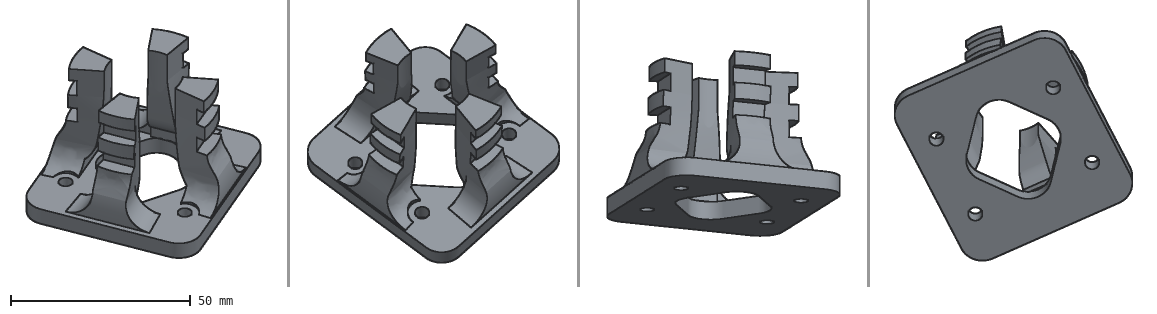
import cadquery as cq
import math

OVERALL_HEIGHT = 39.0

PLATE_X = 52.0
PLATE_Y = 54.55
PLATE_THICKNESS = 5.1
PLATE_CORNER_RADIUS = 6.55

OPENING_HALF_X = 15.7
OPENING_HALF_Y = 19.85
OPENING_CORNER_RADIUS = 6.55

SCREW_DIAMETER = 4.0
SCREW_SPACING_X = 36.0
SCREW_SPACING_Y = 25.1
SCREW_PATTERN_SHIFT_Y = -0.5
HEAD_CLEARANCE_RADIUS = 4.05

FINGER_HEIGHT = OVERALL_HEIGHT - PLATE_THICKNESS
FINGER_SECTOR_ANGLE = 30.0
FINGER_TWIST = 1.3

FOOT_OUTER_R = 25.6
BACK_ARC_RADIUS = 26.2
BACK_ARC_TOP = 7.95
HOLLOW_R = 22.9
HOLLOW_Z = 10.6
SHOULDER_R = 21.85
SHOULDER_Z = 15.25
GROOVE_FLOOR_R = 17.95
MIDDLE_TOOTH_R = 21.2
MIDDLE_TOOTH_BOTTOM = 20.1
MIDDLE_TOOTH_TOP = 24.75
SECTOR_START_Z = MIDDLE_TOOTH_TOP
TOP_TOOTH_R = 20.95
TOP_TOOTH_BOTTOM = 29.85
ROUND_MID_R = 22.7
ROUND_MID_Z = 12.0
ROUND_END_R = 25.65
ROUND_END_Z = 8.7

TIP_INNER_RADIUS = 10.95
TIP_STRAIGHT_Z = 29.45
INNER_BEND_R = 12.4
INNER_BEND_Z = 8.85
STEM_INNER_R = 15.45
STEM_INNER_Z = 3.4

FOOT_HALF_WIDTH = 12.65
FOOT_TAPER = 4.0
FLARE_RADIUS = 7.5
FOOT_EDGE = 0.05
FLARE_TOP = FOOT_EDGE + FLARE_RADIUS
FLARE_START_R_Y = 16.4

BLANK_INNER_R = 8.2
BLANK_OUTER_R = 30.0
BLANK_HALF_WIDTH = 13.65
SEAM_TURN = 45

FLARE_START_R_X = BLANK_INNER_R


def make_plate():
    plate = (
        cq.Workplane("XY")
        .box(PLATE_X, PLATE_Y, PLATE_THICKNESS, centered=(True, True, False))
        .edges("|Z")
        .fillet(PLATE_CORNER_RADIUS)
        .translate((0, 0, -PLATE_THICKNESS))
    )
    opening = (
        cq.Workplane("XY")
        .polyline([(OPENING_HALF_X, 0), (0, OPENING_HALF_Y), (-OPENING_HALF_X, 0), (0, -OPENING_HALF_Y)])
        .close()
        .extrude(-PLATE_THICKNESS)
        .edges("|Z")
        .fillet(OPENING_CORNER_RADIUS)
    )
    return plate.cut(opening)


def screw_cylinders(radius, bottom, height):
    return (
        cq.Workplane("XY", origin=(0, SCREW_PATTERN_SHIFT_Y, bottom))
        .rarray(SCREW_SPACING_X, SCREW_SPACING_Y, 2, 2)
        .circle(radius)
        .extrude(height)
    )


def foot_half_width(r):
    return FOOT_HALF_WIDTH - (FOOT_OUTER_R - r) * math.tan(math.radians(FOOT_TAPER))


def stem_half_width(r):
    return foot_half_width(r) - FLARE_RADIUS


def make_side_profile():
    """Finger outline in the radial plane, as a slab wide enough for the foot."""
    inner_r = TIP_INNER_RADIUS * math.cos(math.radians(FINGER_SECTOR_ANGLE / 2))
    lean = math.asin(BACK_ARC_TOP / BACK_ARC_RADIUS)
    arc_center_r = FOOT_OUTER_R - BACK_ARC_RADIUS
    arc_mid = (
        arc_center_r + BACK_ARC_RADIUS * math.cos(lean / 2),
        BACK_ARC_RADIUS * math.sin(lean / 2),
    )
    arc_end = (arc_center_r + BACK_ARC_RADIUS * math.cos(lean), BACK_ARC_TOP)
    return (
        cq.Workplane("XZ", origin=(0, BLANK_HALF_WIDTH, 0))
        .moveTo(inner_r, FINGER_HEIGHT)
        .lineTo(inner_r, TIP_STRAIGHT_Z)
        .tangentArcPoint((INNER_BEND_R, INNER_BEND_Z), relative=False)
        .tangentArcPoint((STEM_INNER_R, STEM_INNER_Z), relative=False)
        .lineTo(STEM_INNER_R, 0)
        .lineTo(FOOT_OUTER_R, 0)
        .threePointArc(arc_mid, arc_end)
        .spline(
            [(HOLLOW_R, HOLLOW_Z), (SHOULDER_R, SHOULDER_Z)],
            tangents=[(-math.sin(lean), math.cos(lean)), (0, 1)],
            includeCurrent=True,
        )
        .lineTo(GROOVE_FLOOR_R, SHOULDER_Z)
        .lineTo(GROOVE_FLOOR_R, MIDDLE_TOOTH_BOTTOM)
        .lineTo(MIDDLE_TOOTH_R, MIDDLE_TOOTH_BOTTOM)
        .lineTo(MIDDLE_TOOTH_R, MIDDLE_TOOTH_TOP)
        .lineTo(GROOVE_FLOOR_R, MIDDLE_TOOTH_TOP)
        .lineTo(GROOVE_FLOOR_R, TOP_TOOTH_BOTTOM)
        .lineTo(TOP_TOOTH_R, TOP_TOOTH_BOTTOM)
        .lineTo(TOP_TOOTH_R, FINGER_HEIGHT)
        .close()
        .extrude(2 * BLANK_HALF_WIDTH)
    )


def make_round_envelope():
    """Ring about the central axis that rounds the tooth faces and the inner face."""
    return (
        cq.Workplane("XZ")
        .moveTo(TIP_INNER_RADIUS, 0)
        .lineTo(BLANK_OUTER_R, 0)
        .lineTo(BLANK_OUTER_R, ROUND_END_Z)
        .lineTo(ROUND_END_R, ROUND_END_Z)
        .threePointArc((ROUND_MID_R, ROUND_MID_Z), (SHOULDER_R, SHOULDER_Z))
        .lineTo(MIDDLE_TOOTH_R, MIDDLE_TOOTH_BOTTOM)
        .lineTo(MIDDLE_TOOTH_R, MIDDLE_TOOTH_TOP)
        .lineTo(TOP_TOOTH_R, TOP_TOOTH_BOTTOM)
        .lineTo(TOP_TOOTH_R, FINGER_HEIGHT)
        .lineTo(TIP_INNER_RADIUS, FINGER_HEIGHT)
        .close()
        .revolve(360, (0, 0, 0), (0, 1, 0))
        .rotate((0, 0, 0), (0, 0, 1), SEAM_TURN)
    )


def trapezoid_wire(half_width, turn, z):
    """Four-sided outline whose half width depends on R, turned about the axis."""
    angle = math.radians(turn)
    corners = []
    for r, side in [(BLANK_INNER_R, -1), (BLANK_OUTER_R, -1), (BLANK_OUTER_R, 1), (BLANK_INNER_R, 1)]:
        t = side * half_width(r)
        corners.append(cq.Vector(
            r * math.cos(angle) - t * math.sin(angle),
            r * math.sin(angle) + t * math.cos(angle),
            z,
        ))
    return cq.Wire.makePolygon(corners, close=True)


def make_stem_blank():
    """Straight up to the top of the flare, then blending into the twisted sector."""
    def sector_half_width(r):
        return r * math.tan(math.radians(FINGER_SECTOR_ANGLE / 2))

    bottom = trapezoid_wire(stem_half_width, 0, 0)
    flare_top = trapezoid_wire(stem_half_width, 0, FLARE_TOP)
    sector_start = trapezoid_wire(sector_half_width, FINGER_TWIST, SECTOR_START_Z)
    tip = trapezoid_wire(sector_half_width, FINGER_TWIST, FINGER_HEIGHT)
    lower = cq.Workplane(cq.Solid.makeLoft([bottom, flare_top], True))
    middle = cq.Workplane(cq.Solid.makeLoft([flare_top, sector_start], True))
    upper = cq.Workplane(cq.Solid.makeLoft([sector_start, tip], True))
    return lower.union(middle).union(upper)


def flare_wire(r):
    """Cross section of the foot: concave quarter arcs sweeping out to the plate."""
    foot = foot_half_width(r)
    stem = stem_half_width(r)
    arc_mid = FLARE_RADIUS * math.sqrt(0.5)
    return (
        cq.Workplane("YZ", origin=(r, 0, 0))
        .moveTo(-foot, 0)
        .lineTo(foot, 0)
        .lineTo(foot, FOOT_EDGE)
        .threePointArc((foot - arc_mid, FLARE_TOP - arc_mid), (stem, FLARE_TOP))
        .lineTo(-stem, FLARE_TOP)
        .threePointArc((arc_mid - foot, FLARE_TOP - arc_mid), (-foot, FOOT_EDGE))
        .close()
        .val()
    )


def make_finger(flare_start_r):
    flare = cq.Workplane(cq.Solid.makeLoft([flare_wire(flare_start_r), flare_wire(FOOT_OUTER_R)], True))
    return (
        make_side_profile()
        .intersect(make_round_envelope())
        .intersect(make_stem_blank().union(flare))
    )


head_clearance = screw_cylinders(HEAD_CLEARANCE_RADIUS, 0, FINGER_HEIGHT)
screw_holes = screw_cylinders(SCREW_DIAMETER / 2, -PLATE_THICKNESS, PLATE_THICKNESS)

gripper = make_plate()
for quarter in range(4):
    flare_start_r = FLARE_START_R_X if quarter % 2 == 0 else FLARE_START_R_Y
    finger = make_finger(flare_start_r).rotate((0, 0, 0), (0, 0, 1), 90 * quarter)
    gripper = gripper.union(finger.cut(head_clearance))
gripper = gripper.cut(screw_holes)

result = cq.Compound.makeCompound([gripper.val()])